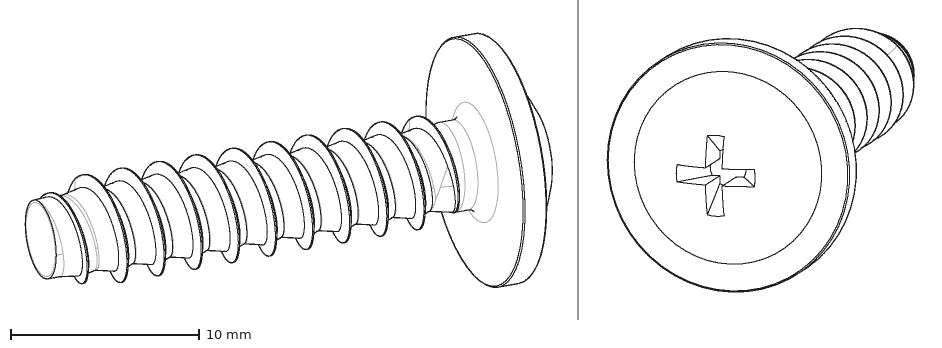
import cadquery as cq
import math


washer_radius = 6.75
washer_thickness = 1.37
washer_edge_break = 0.08
dome_base_radius = 5.22
dome_height = 2.57

recess_wing_width = 0.93
recess_top_radius = 2.2
recess_bottom_radius = 1.0
recess_rim_sink = 0.37
recess_depth = 2.6

neck_radius = 2.43
neck_fillet = 0.82
neck_length = 1.57
neck_taper_length = 1.5
core_radius = 2.13
shank_length = 25.0
tip_dimple_radius = 2.0
tip_dimple_depth = 0.15

pitch = 2.14
crest_on_x_axis = 2.04
crest_radius = 3.0
crest_half_width = 0.04
toe_offset = 0.8
head_flank_width = 0.31
head_base_radius = 2.3
tip_flank_width = 0.21
tip_base_radius = 2.35
root_gap = 0.04
root_overlap = 0.13
faded_depth = 0.03
fade_in_start_z = 0.95
fade_in_turns = 0.88
fade_out_start_z = 22.1
fade_out_turns = 1.35

dome_top = -(washer_thickness + dome_height)


def make_head():
    """Washer and spherical dome, revolved about Z."""
    dome_sphere = (dome_base_radius**2 + dome_height**2) / (2 * dome_height)
    mid_radius = dome_base_radius / 2
    mid_sag = dome_sphere - math.sqrt(dome_sphere**2 - mid_radius**2)
    washer = (
        cq.Workplane("XY")
        .circle(washer_radius)
        .extrude(-washer_thickness)
        .edges()
        .chamfer(washer_edge_break)
    )
    dome = (
        cq.Workplane("XZ")
        .moveTo(0, 0)
        .lineTo(0, dome_top)
        .threePointArc((mid_radius, dome_top + mid_sag), (dome_base_radius, -washer_thickness))
        .lineTo(dome_base_radius, -washer_thickness / 2)
        .lineTo(neck_radius, 0)
        .close()
        .revolve(360, (0, 0), (0, 1))
    )
    return washer.union(dome)


def make_recess():
    """Cross of two wings whose outer ends taper inwards with depth."""
    rim = dome_top + recess_rim_sink
    floor = dome_top + recess_depth
    taper_cone = (
        cq.Workplane("XZ")
        .moveTo(0, dome_top)
        .lineTo(recess_top_radius, dome_top)
        .lineTo(recess_top_radius, rim)
        .lineTo(recess_bottom_radius, floor)
        .lineTo(0, floor)
        .close()
        .revolve(360, (0, 0), (0, 1))
    )
    span = 2 * recess_top_radius
    base = cq.Workplane("XY").workplane(offset=dome_top)
    wing_x = base.rect(span, recess_wing_width).extrude(recess_depth)
    wing_y = base.rect(recess_wing_width, span).extrude(recess_depth)
    return wing_x.union(wing_y).intersect(taper_cone)


def make_core():
    """Neck filleted to the washer, taper to the thread core, and a shallow conical tip dimple."""
    arc_offset = neck_fillet * (1 - math.sqrt(0.5))
    return (
        cq.Workplane("XZ")
        .moveTo(0, -washer_thickness / 2)
        .lineTo(neck_radius + neck_fillet, -washer_thickness / 2)
        .lineTo(neck_radius + neck_fillet, 0)
        .threePointArc((neck_radius + arc_offset, arc_offset), (neck_radius, neck_fillet))
        .lineTo(neck_radius, neck_length)
        .lineTo(core_radius, neck_length + neck_taper_length)
        .lineTo(core_radius, shank_length)
        .lineTo(tip_dimple_radius, shank_length)
        .lineTo(0, shank_length - tip_dimple_depth)
        .close()
        .revolve(360, (0, 0), (0, 1))
    )


def helix_edge(start, end, turns):
    """Right-handed helix about Z between two (radius, z) points, starting on the X axis."""
    radius_gain = end[0] - start[0]
    rise = end[1] - start[1]
    if radius_gain == 0:
        wire = cq.Wire.makeHelix(rise / turns, rise, start[0])
    else:
        slope = math.atan2(radius_gain, rise)
        slant = rise / math.cos(slope)
        wire = cq.Wire.makeHelix(slant / turns, slant, start[0], angle=math.degrees(slope))
    return wire.Edges()[0].translate(cq.Vector(0, 0, start[1]))


def thread_section(growth, crest_z):
    """Closed (radius, z) outline of one pitch of thread, its foot buried in the core.

    A growth of 1 is the full profile; at 0 the tooth is narrow and just below the core surface.
    """
    foot_radius = core_radius - root_overlap
    faded_radius = core_radius - faded_depth
    taper_end_offset = pitch - toe_offset - root_gap

    def grown(radius, offset):
        return (faded_radius + growth * (radius - faded_radius), crest_z + offset)

    return [
        (foot_radius, crest_z - toe_offset),
        grown(core_radius, -toe_offset),
        grown(head_base_radius, -crest_half_width - growth * head_flank_width),
        grown(crest_radius, -crest_half_width),
        grown(crest_radius, crest_half_width),
        grown(tip_base_radius, crest_half_width + growth * tip_flank_width),
        grown(core_radius, taper_end_offset),
        (foot_radius, crest_z + taper_end_offset),
    ]


def section_face(section, angle):
    """Flat radial face bounded by a thread outline at an angle about Z."""
    corners = [cq.Vector(radius, 0, z) for radius, z in section]
    outline = cq.Wire.makePolygon(corners, close=True)
    return cq.Face.makeFromWires(outline).rotate(cq.Vector(), cq.Vector(0, 0, 1), angle)


def make_thread():
    """Thread whose tooth grows out of the neck, runs at full height and fades out at the tip."""
    full_z = fade_in_start_z + fade_in_turns * pitch
    fade_out_end_z = fade_out_start_z + fade_out_turns * pitch
    stations = [
        (0, fade_in_start_z),
        (1, full_z),
        (1, fade_out_start_z),
        (0, fade_out_end_z),
    ]
    sections = [thread_section(growth, z) for growth, z in stations]
    angles = [360 * (z - crest_on_x_axis) / pitch for _, z in stations]

    faces = [section_face(sections[0], angles[0]), section_face(sections[-1], angles[-1])]
    for index in range(len(stations) - 1):
        turns = (angles[index + 1] - angles[index]) / 360
        edges = [
            helix_edge(start, end, turns).rotate(cq.Vector(), cq.Vector(0, 0, 1), angles[index])
            for start, end in zip(sections[index], sections[index + 1])
        ]
        for side, edge in enumerate(edges):
            faces.append(cq.Face.makeRuledSurface(edges[side - 1], edge))
    return cq.Workplane(obj=cq.Solid.makeSolid(cq.Shell.makeShell(faces)))


def trim_thread(thread):
    """Cut the thread off flush with the rim of the tip."""
    beyond_tip = (
        cq.Workplane("XY")
        .workplane(offset=shank_length)
        .circle(2 * crest_radius)
        .extrude(3 * pitch)
    )
    return thread.cut(beyond_tip)


shank = make_core().union(trim_thread(make_thread()))
screw = shank.union(make_head()).cut(make_recess())
result = screw.rotate((0, 0, 0), (1, 0, 0), 90)